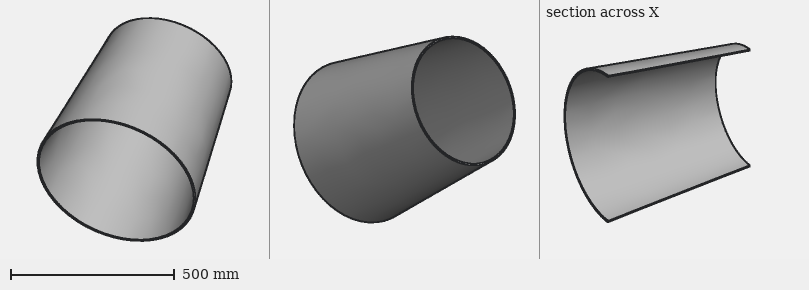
import cadquery as cq

LARGE_DIAMETER = 508.0
SMALL_DIAMETER = 406.4
WALL = 6.0
LENGTH = 508.0

large_radius = LARGE_DIAMETER / 2
small_radius = SMALL_DIAMETER / 2


def reducer():
    """Revolve the tapered wall section, drawn in the XY plane, about the Y axis."""
    wall_section = (
        cq.Workplane("XY")
        .moveTo(large_radius - WALL, 0)
        .lineTo(large_radius, 0)
        .lineTo(small_radius, LENGTH)
        .lineTo(small_radius - WALL, LENGTH)
        .close()
    )
    return wall_section.revolve(360, (0, 0, 0), (0, 1, 0))


result = reducer()